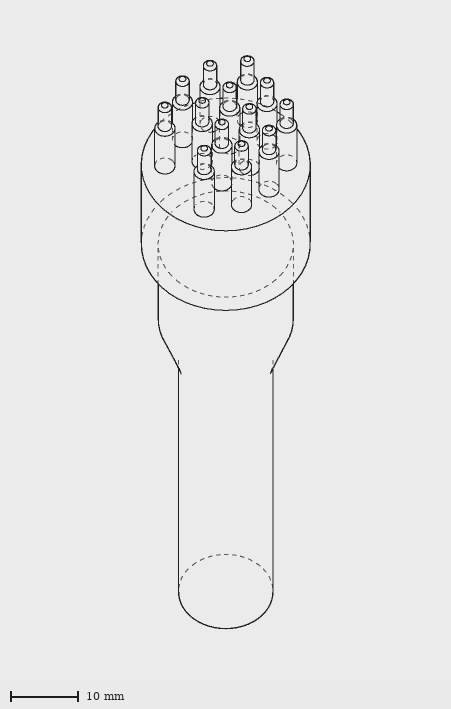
import cadquery as cq

cable_diameter = 14.0
cable_length = 55.0
taper_length = 10.0
sleeve_diameter = 20.0
sleeve_length = 18.0
head_diameter = 25.0
head_length = 19.0

pin_diameter = 3.0
pin_tip_diameter = 2.0
pin_length = 14.5
pin_tip_length = 5.0
tip_chamfer = 0.5
pin_pitch = 5.0
shoulder_chamfer = (pin_diameter - pin_tip_diameter) / 2

pin_rows = [
    [-1, 0, 1],
    [-1.5, -0.5, 0.5, 1.5],
    [-1.5, -0.5, 0.5, 1.5],
    [-1, 1],
]

taper_bottom = cable_length
sleeve_bottom = taper_bottom + taper_length
head_bottom = sleeve_bottom + sleeve_length
head_top = head_bottom + head_length


def make_body():
    """Revolve the cable, taper, sleeve and head as one profile."""
    profile = (
        cq.Workplane("XZ")
        .lineTo(cable_diameter / 2, 0)
        .lineTo(cable_diameter / 2, taper_bottom)
        .lineTo(sleeve_diameter / 2, sleeve_bottom)
        .lineTo(sleeve_diameter / 2, head_bottom)
        .lineTo(head_diameter / 2, head_bottom)
        .lineTo(head_diameter / 2, head_top)
        .lineTo(0, head_top)
        .close()
    )
    return profile.revolve(360, (0, 0, 0), (0, 1, 0))


def make_pin():
    """Revolve a stepped pin standing on the XY plane, chamfered at its shoulder and tip."""
    radius = pin_diameter / 2
    tip_radius = pin_tip_diameter / 2
    shoulder = pin_length - pin_tip_length
    profile = (
        cq.Workplane("XZ")
        .lineTo(radius, 0)
        .lineTo(radius, shoulder - shoulder_chamfer)
        .lineTo(tip_radius, shoulder)
        .lineTo(tip_radius, pin_length - tip_chamfer)
        .lineTo(tip_radius - tip_chamfer, pin_length)
        .lineTo(0, pin_length)
        .close()
    )
    return profile.revolve(360, (0, 0, 0), (0, 1, 0))


def pin_positions():
    """Pin centres, with the rows spaced evenly about the X axis."""
    positions = []
    top_row_y = pin_pitch * (len(pin_rows) - 1) / 2
    for row, places in enumerate(pin_rows):
        y = top_row_y - row * pin_pitch
        for place in places:
            positions.append((place * pin_pitch, y))
    return positions


result = make_body()
pin = make_pin()
for x, y in pin_positions():
    result = result.union(pin.translate((x, y, head_top)))